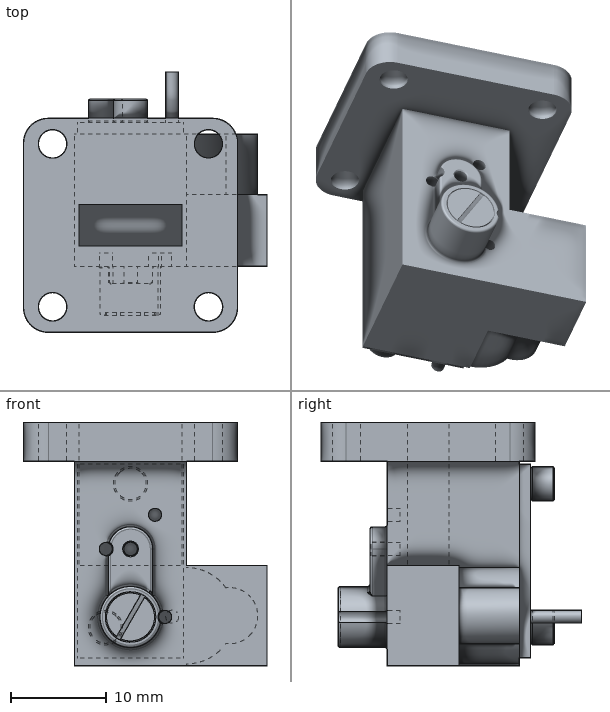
import cadquery as cq

FLANGE_SIDE = 22.35
FLANGE_THICK = 4.08
FLANGE_CORNER_R = 2.6
BOLT_HOLE_D = 2.94
BOLT_SPACING_X = 16.25
BOLT_SPACING_Y = 17.0

GUIDE_WIDTH = 10.7
GUIDE_HEIGHT = 4.32
GUIDE_FLOOR_Z = -14.92

BODY_BOTTOM_Z = -25.4
BODY_FRONT_Y = -4.27
BODY_BACK_Y = 9.5
POST_WIDTH = 11.7
FOOT_TOP_Z = -14.92
FOOT_BLOCK_END_X = 14.25
FOOT_BLOCK_BACK_Y = 3.2
FOOT_INNER_R = 5.03
FOOT_OUTER_R = 2.94
FOOT_LOBES_END_X = 13.26

COVER_THICK = 1.2
COVER_WIDTH = 11.04
COVER_TOP_Z = -4.38
COVER_BOTTOM_Z = -24.57
SCREW_D = 3.6
SCREW_HEAD_LENGTH = 2.47
SCREW_EDGE_CHAMFER = 0.15
SCREW_CENTRES = [(0, -6.41), (-2.6, -21.42)]
PIN_D = 1.35
PIN_CENTRE = (4.35, -20.28)
OVERALL_LENGTH_Y = 27.18
PIN_END_Y = OVERALL_LENGTH_Y - FLANGE_SIDE / 2

KNOB_R = 3.18
KNOB_LENGTH = 5.1
KNOB_Z = -20.3
ARM_R = 2.3
ARM_LENGTH = 1.8
ARM_Z = -13.2
LOCK_FILLET = 0.25
KNOB_FRONT_Y = BODY_FRONT_Y - KNOB_LENGTH
ARM_FRONT_Y = BODY_FRONT_Y - ARM_LENGTH
ARM_HOLE_D = 1.4
ARM_HOLE_CHAMFER = 0.1
TOUCHING = 0.003

GROOVE_OUTER_R = 2.65
DISC_R = 2.5
DISC_RELIEF_DEPTH = 0.27
SLOT_WIDTH = 0.5
SLOT_ANGLE = 60

INDEX_HOLE_D = 1.35
INDEX_HOLE_DEPTH = 1.35
INDEX_NOTCH_D = 1.52
INDEX_HOLE_CENTRES = [(2.55, -9.65), (-2.58, ARM_Z), (3.61, KNOB_Z)]


def box(x, y, z):
    """Box spanning the given (low, high) ranges."""
    size = (x[1] - x[0], y[1] - y[0], z[1] - z[0])
    return cq.Workplane("XY").box(*size, centered=False).translate((x[0], y[0], z[0]))


def rod(x, z, radius, y_from, y_to):
    """Round bar along Y between two Y positions."""
    start = cq.Workplane("XZ", origin=(x, y_to, z))
    return start.circle(radius).extrude(y_to - y_from)


def make_flange():
    flange = (
        cq.Workplane("XY")
        .rect(FLANGE_SIDE, FLANGE_SIDE)
        .extrude(-FLANGE_THICK)
        .edges("|Z")
        .fillet(FLANGE_CORNER_R)
    )
    return (
        flange.faces(">Z")
        .workplane()
        .rarray(BOLT_SPACING_X, BOLT_SPACING_Y, 2, 2)
        .hole(BOLT_HOLE_D)
    )


def make_body():
    half = POST_WIDTH / 2
    post = box((-half, half), (BODY_FRONT_Y, BODY_BACK_Y), (BODY_BOTTOM_Z, -FLANGE_THICK))
    foot_z = (BODY_BOTTOM_Z, FOOT_TOP_Z)
    block = box((0, FOOT_BLOCK_END_X), (BODY_FRONT_Y, FOOT_BLOCK_BACK_Y), foot_z)

    behind_block = (FOOT_BLOCK_BACK_Y, BODY_BACK_Y)
    middle_z = (FOOT_TOP_Z + BODY_BOTTOM_Z) / 2
    inner_round = rod(half, middle_z, FOOT_INNER_R, *behind_block)
    outer_round = rod(FOOT_LOBES_END_X - FOOT_OUTER_R, middle_z, FOOT_OUTER_R, *behind_block)
    return post.union(block).union(inner_round).union(outer_round)


def make_back_parts():
    cover_y = (BODY_BACK_Y, BODY_BACK_Y + COVER_THICK)
    parts = box((-COVER_WIDTH / 2, COVER_WIDTH / 2), cover_y, (COVER_BOTTOM_Z, COVER_TOP_Z))
    for x, z in SCREW_CENTRES:
        head = rod(x, z, SCREW_D / 2, cover_y[1], cover_y[1] + SCREW_HEAD_LENGTH)
        parts = parts.union(head.faces("<Y or >Y").chamfer(SCREW_EDGE_CHAMFER))
    return parts.union(rod(*PIN_CENTRE, PIN_D / 2, BODY_BACK_Y, PIN_END_Y))


def add_lock(body):
    knob = rod(0, KNOB_Z, KNOB_R, KNOB_FRONT_Y, BODY_FRONT_Y)
    arm = box((-ARM_R, ARM_R), (ARM_FRONT_Y, BODY_FRONT_Y), (KNOB_Z, ARM_Z))
    arm = arm.union(rod(0, ARM_Z, ARM_R, ARM_FRONT_Y, BODY_FRONT_Y))
    lock = knob.union(arm)

    lock = lock.faces("<Y").edges().fillet(LOCK_FILLET)
    arm_rim = [edge for edge in lock.edges().vals() if abs(edge.Center().y - ARM_FRONT_Y) < TOUCHING]
    lock = lock.newObject(arm_rim).fillet(LOCK_FILLET)

    joined = body.union(lock)
    foot_outline = cq.selectors.BoxSelector(
        (-KNOB_R - TOUCHING, BODY_FRONT_Y - TOUCHING, KNOB_Z - KNOB_R - TOUCHING),
        (KNOB_R + TOUCHING, BODY_FRONT_Y + TOUCHING, ARM_Z + ARM_R + TOUCHING),
    )
    return joined.edges(foot_outline).fillet(LOCK_FILLET)


def cut_lock_details(part):
    relief_floor_y = KNOB_FRONT_Y + DISC_RELIEF_DEPTH

    groove = rod(0, KNOB_Z, GROOVE_OUTER_R, KNOB_FRONT_Y, relief_floor_y)
    groove = groove.cut(rod(0, KNOB_Z, DISC_R, KNOB_FRONT_Y, relief_floor_y))
    slot = (
        cq.Workplane("XZ", origin=(0, relief_floor_y, KNOB_Z))
        .transformed(rotate=(0, 0, SLOT_ANGLE))
        .rect(2 * DISC_R, SLOT_WIDTH)
        .extrude(DISC_RELIEF_DEPTH)
    )
    arm_hole = rod(0, ARM_Z, ARM_HOLE_D / 2, ARM_FRONT_Y, BODY_FRONT_Y)
    countersink = cq.Solid.makeCone(
        ARM_HOLE_D / 2 + ARM_HOLE_CHAMFER,
        ARM_HOLE_D / 2,
        ARM_HOLE_CHAMFER,
        pnt=cq.Vector(0, ARM_FRONT_Y, ARM_Z),
        dir=cq.Vector(0, 1, 0),
    )
    arm_hole = arm_hole.union(cq.Workplane(countersink))
    part = part.cut(groove).cut(slot).cut(arm_hole)

    for x, z in INDEX_HOLE_CENTRES:
        hole_end_y = BODY_FRONT_Y + INDEX_HOLE_DEPTH
        part = part.cut(rod(x, z, INDEX_HOLE_D / 2, BODY_FRONT_Y, hole_end_y))
        part = part.cut(rod(x, z, INDEX_NOTCH_D / 2, KNOB_FRONT_Y, BODY_FRONT_Y))
    return part


def make_guide_opening():
    half_width = GUIDE_WIDTH / 2
    half_height = GUIDE_HEIGHT / 2
    return box((-half_width, half_width), (-half_height, half_height), (GUIDE_FLOOR_Z, 0))


result = make_flange().union(make_body()).union(make_back_parts())
result = add_lock(result)
result = cut_lock_details(result)
result = result.cut(make_guide_opening())